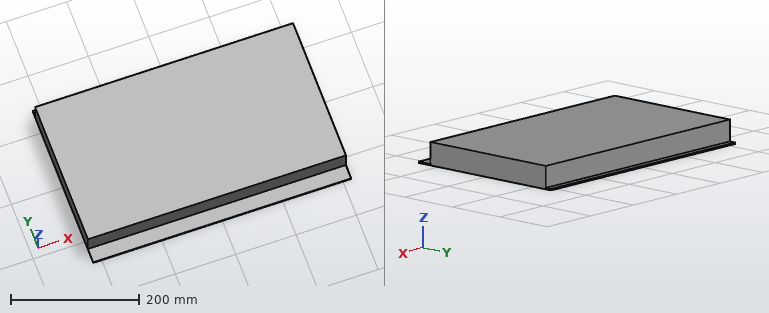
import cadquery as cq

length = 428.0
width = 278.0
height = 37.5

flange_thickness = 2.5
front_flange = 24.5
back_flange = 10.5

block_width = width - front_flange - back_flange
block_center_y = (front_flange - back_flange) / 2

upright = (True, True, False)

base = cq.Workplane("XY").box(length, width, flange_thickness, centered=upright)

block = (
    cq.Workplane("XY")
    .center(0, block_center_y)
    .box(length, block_width, height, centered=upright)
)

result = base.union(block)